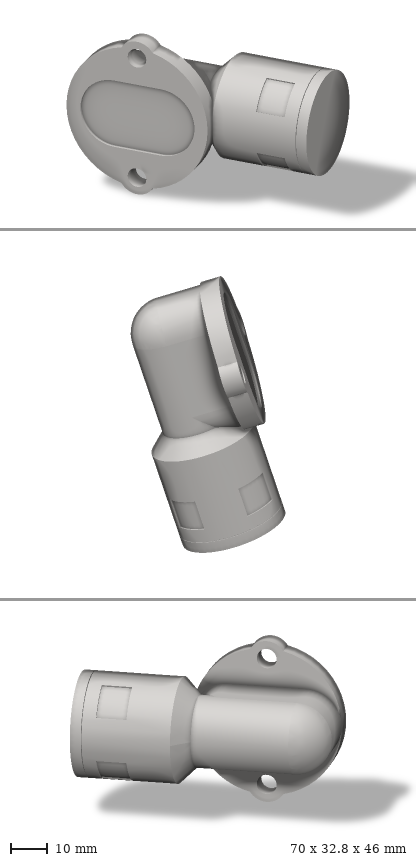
import cadquery as cq
import math

length = 70.0
axis_y = 18.0
tube_diameter = 20.0
tube_radius = tube_diameter / 2

flange_diameter = 42.0
flange_radius = flange_diameter / 2
flange_thickness = 5.5
hole_spacing = 36.05
ear_radius = 5.5
ear_offset = 17.5
hole_diameter = 5.5
hole_offset = hole_spacing / 2

recess_length = 33.95
recess_shift = 0.15
recess_depth = 1.0

socket_diameter = 29.5
socket_radius = socket_diameter / 2
socket_start = flange_diameter
relief_diameter = 28.5
relief_radius = relief_diameter / 2

groove_start = 66.7
groove_width = 0.2

window_start = 54.45
window_length = 8.5
window_count = 4
window_angle = 40.2
window_overcut = 0.7


def front_plane(y=0.0):
    """Plane whose normal is +Y, centred on the flange."""
    return cq.Plane(origin=(flange_radius, y, 0), xDir=(1, 0, 0), normal=(0, 1, 0))


def axis_plane(x):
    """Plane across the tube axis; local x is +Y and local y is +Z."""
    return cq.Plane(origin=(x, axis_y, 0), xDir=(0, 1, 0), normal=(1, 0, 0))


def make_flange():
    """Round flange with two opposite ears, each carrying a through hole."""
    hole_centers = [(0, hole_offset), (0, -hole_offset)]
    flange = cq.Workplane(front_plane()).circle(flange_radius).extrude(flange_thickness)
    ear_centers = [(0, ear_offset), (0, -ear_offset)]
    ears = cq.Workplane(front_plane()).pushPoints(ear_centers).circle(ear_radius).extrude(flange_thickness)
    holes = cq.Workplane(front_plane()).pushPoints(hole_centers).circle(hole_diameter / 2)
    return flange.union(ears).cut(holes.extrude(flange_thickness))


def make_elbow():
    """Stadium riser, with a horizontal tube and a spherical corner above it."""
    riser = cq.Workplane(front_plane(recess_depth)).slot2D(flange_diameter, tube_diameter)
    riser = riser.extrude(axis_y - recess_depth)
    tube = cq.Workplane(axis_plane(tube_radius)).circle(tube_radius).extrude(socket_start - tube_radius)
    corner = cq.Workplane("XY").sphere(tube_radius).translate((tube_radius, axis_y, 0))
    return riser.union(tube).union(corner)


def make_socket():
    """Turned socket: 45 degree shoulder, cylinder and a narrow groove before the end collar."""
    shoulder_start = socket_start - (socket_radius - tube_radius)
    groove_end = groove_start + groove_width
    profile = [
        (shoulder_start, 0),
        (shoulder_start, tube_radius),
        (socket_start, socket_radius),
        (groove_start, socket_radius),
        (groove_start, relief_radius),
        (groove_end, relief_radius),
        (groove_end, socket_radius),
        (length, socket_radius),
        (length, 0),
    ]
    turned = cq.Workplane("XY").polyline(profile).close().revolve(360, (0, 0), (1, 0))
    return turned.translate((0, axis_y, 0))


def make_window(center_angle):
    """Curved pocket between the relief and outer radii, with radial side walls."""
    def point(radius, angle):
        return (radius * math.cos(math.radians(angle)), radius * math.sin(math.radians(angle)))

    cut_radius = socket_radius + window_overcut
    first = center_angle - window_angle / 2
    last = center_angle + window_angle / 2
    return (
        cq.Workplane(axis_plane(window_start))
        .moveTo(*point(relief_radius, first))
        .threePointArc(point(relief_radius, center_angle), point(relief_radius, last))
        .lineTo(*point(cut_radius, last))
        .threePointArc(point(cut_radius, center_angle), point(cut_radius, first))
        .close()
        .extrude(window_length)
    )


recess = cq.Workplane(front_plane()).center(recess_shift, 0).slot2D(recess_length, tube_diameter)
recess = recess.extrude(recess_depth)

result = make_elbow().union(make_flange().cut(recess)).union(make_socket())
for index in range(window_count):
    result = result.cut(make_window((index + 0.5) * 360 / window_count))